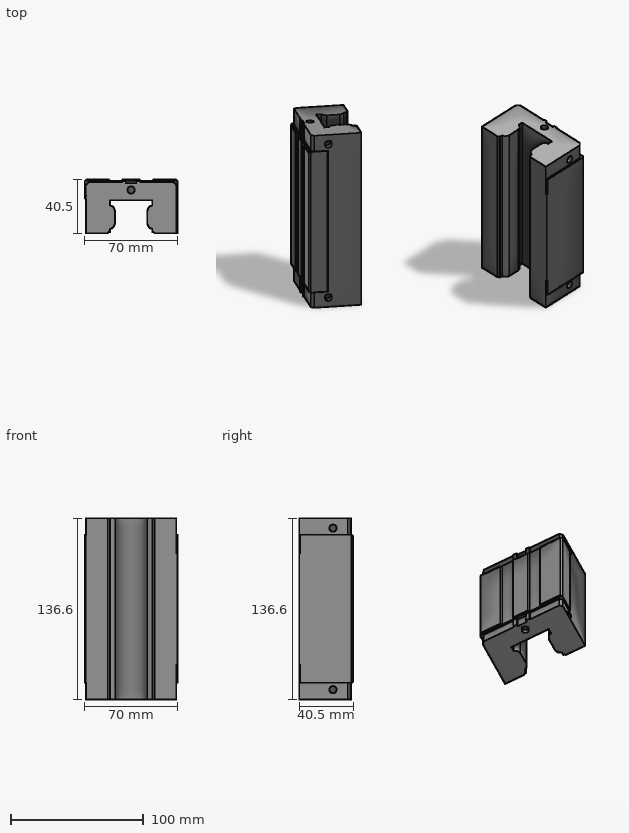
import cadquery as cq


length = 136.6
total_width = 70.0
total_depth = 40.5

cover_side = 1.0
body_half = total_width / 2 - cover_side
body_back = 38.4
body_chamfer = 2.0
spine_back = 39.1
spine_half_base = 7.2
spine_half_top = 6.6
notch_half = 3.9
notch_bottom = 37.7

channel_half = 15.8
channel_floor = 24.7
mouth_half = 17.6
mouth_chamfer_depth = 1.5
lip_width = 0.4
lip_front = 0.9

bulge_center = 12.1
bulge_half_gap = 12.1
bulge_half_height = 8.8
shoulder_mid_x = 14.0
shoulder_mid_rise = 8.1
flank_x = 12.8
flank_rise = 6.6
crown_rise = 5.0

cover_length = 111.6
pad_height = 1.0
cover_back = total_depth - pad_height
cover_chamfer = 1.4
left_cover_reach = 15.0
right_cover_relief = 0.9
right_cover_full_length = 84.0
outer_pad_inner_edge = 16.0
center_pad_half = 7.2

hole_diameter = 5.5
hole_depth = 6.0
end_hole_y = 32.6
side_hole_y = 25.4
side_hole_inset = 7.5


def prism(outline, height):
    """Extrude a closed XY outline symmetrically about Z = 0."""
    return outline.close().extrude(height / 2, both=True)


def box(x_min, x_max, y_min, y_max, height):
    corners = [(x_min, y_min), (x_max, y_min), (x_max, y_max), (x_min, y_max)]
    return prism(cq.Workplane().polyline(corners), height)


def make_body():
    block = box(-body_half, body_half, 0, body_back, length)
    block = block.edges("|Z and >Y").chamfer(body_chamfer)
    spine = prism(
        cq.Workplane().polyline([
            (-spine_half_base, body_back - body_chamfer),
            (-spine_half_base, body_back),
            (-spine_half_top, spine_back),
            (spine_half_top, spine_back),
            (spine_half_base, body_back),
            (spine_half_base, body_back - body_chamfer),
        ]),
        length,
    )
    groove = box(-notch_half, notch_half, notch_bottom, total_depth, length)
    return block.union(spine).cut(groove)


def make_bulge():
    """Running track on the +X channel wall: round shoulders, steep flanks and a flat crown."""
    y = bulge_center
    return prism(
        cq.Workplane()
        .moveTo(channel_half, y - bulge_half_height)
        .threePointArc((shoulder_mid_x, y - shoulder_mid_rise), (flank_x, y - flank_rise))
        .lineTo(bulge_half_gap, y - crown_rise)
        .lineTo(bulge_half_gap, y + crown_rise)
        .lineTo(flank_x, y + flank_rise)
        .threePointArc((shoulder_mid_x, y + shoulder_mid_rise), (channel_half, y + bulge_half_height)),
        length,
    )


def make_channel():
    mouth_edge = [
        (mouth_half, 0),
        (channel_half + lip_width, mouth_chamfer_depth),
        (channel_half + lip_width, lip_front),
        (channel_half, lip_front),
        (channel_half, channel_floor),
    ]
    mirrored_edge = [(-x, y) for x, y in reversed(mouth_edge)]
    channel = prism(cq.Workplane().polyline(mouth_edge + mirrored_edge), length)
    bulge = make_bulge()
    return channel.cut(bulge).cut(bulge.mirror("YZ"))


def make_pad(x_min, x_max):
    """Pad on the back of the cover, bevelled on all four sides."""
    width = x_max - x_min
    return (
        cq.Workplane("XZ", origin=((x_min + x_max) / 2, cover_back, 0))
        .rect(width, cover_length)
        .workplane(offset=-pad_height)
        .rect(width - 2 * pad_height, cover_length - 2 * pad_height)
        .loft(ruled=True)
    )


def make_cover():
    half_width = total_width / 2
    left_lip = total_depth - left_cover_reach
    sheet = prism(
        cq.Workplane().polyline([
            (-body_half, left_lip),
            (-half_width, left_lip + cover_side),
            (-half_width, total_depth - cover_chamfer),
            (-half_width + cover_chamfer - pad_height, cover_back),
            (half_width - cover_chamfer + pad_height, cover_back),
            (half_width, total_depth - cover_chamfer),
            (half_width, right_cover_relief),
            (body_half, right_cover_relief),
            (body_half, left_lip),
        ]),
        cover_length,
    )
    front_strip = box(body_half, half_width, 0, right_cover_relief, right_cover_full_length)
    outer_pad_edge = half_width - cover_chamfer + pad_height
    outer_pad = make_pad(outer_pad_inner_edge, outer_pad_edge)
    center_pad = make_pad(-center_pad_half, center_pad_half)
    return sheet.union(front_strip).union(center_pad).union(outer_pad).union(outer_pad.mirror("YZ"))


def drill(x, y, z, direction):
    """Cutter for a blind hole that starts at (x, y, z)."""
    start = cq.Vector(x, y, z)
    return cq.Workplane(cq.Solid.makeCylinder(hole_diameter / 2, hole_depth, start, cq.Vector(direction)))


result = make_body().union(make_cover()).cut(make_channel())
for end in (-1, 1):
    result = result.cut(drill(0, end_hole_y, end * length / 2, (0, 0, -end)))
    for side in (-1, 1):
        side_hole_z = end * (length / 2 - side_hole_inset)
        result = result.cut(drill(side * body_half, side_hole_y, side_hole_z, (-side, 0, 0)))